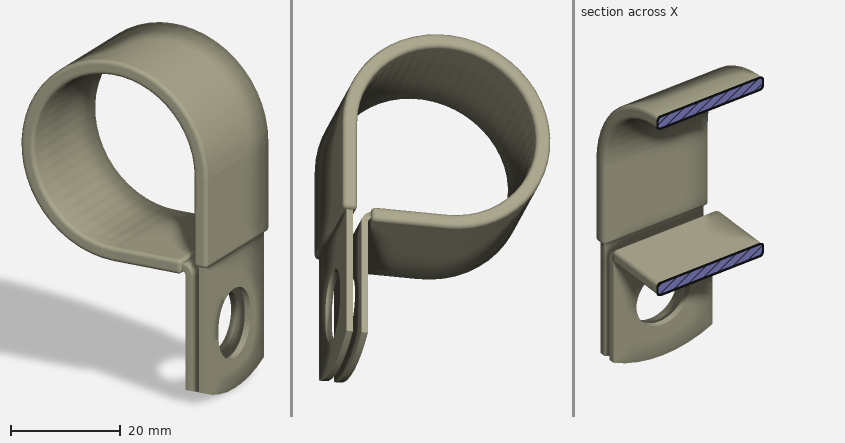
import cadquery as cq

height = 63.9
outer_diameter = 38.9
sheath_width = 23.8

strip_thickness = 1.2
cover = 0.75
vertical_arm_length = 17.45
horizontal_arm_length = 14.05

leg_gap = 1.6
bend_inner_radius = 1.0
hole_diameter = 11.9
slot_length = 13.55
hole_z = -31.8
tip_rise = 2.55

outer_radius = outer_diameter / 2
sheath_thickness = strip_thickness + 2 * cover
inner_radius = outer_radius - sheath_thickness
strip_width = sheath_width - 2 * cover
strip_outer = outer_radius - cover
strip_inner = strip_outer - strip_thickness
leg_bottom = outer_radius - height
front_leg_outer = strip_inner - leg_gap
front_leg_inner = front_leg_outer - strip_thickness
bend_x = front_leg_inner - bend_inner_radius
bend_z = -strip_outer - bend_inner_radius


def centered_extrusion(profile, width):
    """Extrude an XZ profile by the given width, centered on Y = 0."""
    return profile.extrude(width / 2, both=True)


def make_sheath():
    """Three-quarter loop with two straight arms and all edges rounded."""
    diagonal = 0.5 ** 0.5
    profile = (
        cq.Workplane("XZ")
        .moveTo(outer_radius, -vertical_arm_length)
        .lineTo(outer_radius, 0)
        .threePointArc((-outer_radius * diagonal, outer_radius * diagonal), (0, -outer_radius))
        .lineTo(horizontal_arm_length, -outer_radius)
        .lineTo(horizontal_arm_length, -inner_radius)
        .lineTo(0, -inner_radius)
        .threePointArc((-inner_radius * diagonal, inner_radius * diagonal), (inner_radius, 0))
        .lineTo(inner_radius, -vertical_arm_length)
        .close()
    )
    body = centered_extrusion(profile, sheath_width)
    end_edges = body.faces(
        cq.selectors.BoxSelector(
            (horizontal_arm_length - cover, -sheath_width, -outer_radius),
            (outer_radius, sheath_width, -inner_radius),
        )
    ).edges()
    return body.faces("<Y or >Y").edges().add(end_edges).fillet(cover)


def make_straight_leg():
    """Strip leg continuing straight down from the vertical arm."""
    profile = (
        cq.Workplane("XZ")
        .moveTo(strip_inner, leg_bottom)
        .lineTo(strip_outer, leg_bottom)
        .lineTo(strip_outer, -vertical_arm_length / 2)
        .lineTo(strip_inner, -vertical_arm_length / 2)
        .close()
    )
    return centered_extrusion(profile, strip_width)


def make_bent_leg():
    """Strip leg leaving the horizontal arm and bending down."""
    start_x = horizontal_arm_length / 2
    bend_outer_radius = bend_inner_radius + strip_thickness
    profile = (
        cq.Workplane("XZ")
        .moveTo(start_x, -strip_inner)
        .lineTo(bend_x, -strip_inner)
        .radiusArc((front_leg_outer, bend_z), bend_outer_radius)
        .lineTo(front_leg_outer, leg_bottom)
        .lineTo(front_leg_inner, leg_bottom)
        .lineTo(front_leg_inner, bend_z)
        .radiusArc((bend_x, -strip_outer), -bend_inner_radius)
        .lineTo(start_x, -strip_outer)
        .close()
    )
    return centered_extrusion(profile, strip_width)


def make_leg_envelope(hole):
    """Rounded-tip outline in YZ with a bolt opening, used to trim one leg."""
    half_width = strip_width / 2
    tip_start = leg_bottom + tip_rise
    outline = (
        cq.Workplane("YZ")
        .moveTo(-half_width, 0)
        .lineTo(-half_width, tip_start)
        .threePointArc((0, leg_bottom), (half_width, tip_start))
        .lineTo(half_width, 0)
        .close()
        .extrude(outer_radius)
    )
    return outline.cut(hole)


hole_plane = cq.Workplane("YZ").center(0, hole_z)
round_hole = hole_plane.circle(hole_diameter / 2).extrude(outer_radius)
slotted_hole = hole_plane.slot2D(slot_length, hole_diameter, 90).extrude(outer_radius)

straight_leg = make_straight_leg().intersect(make_leg_envelope(slotted_hole))
bent_leg = make_bent_leg().intersect(make_leg_envelope(round_hole))
result = make_sheath().union(straight_leg).union(bent_leg)